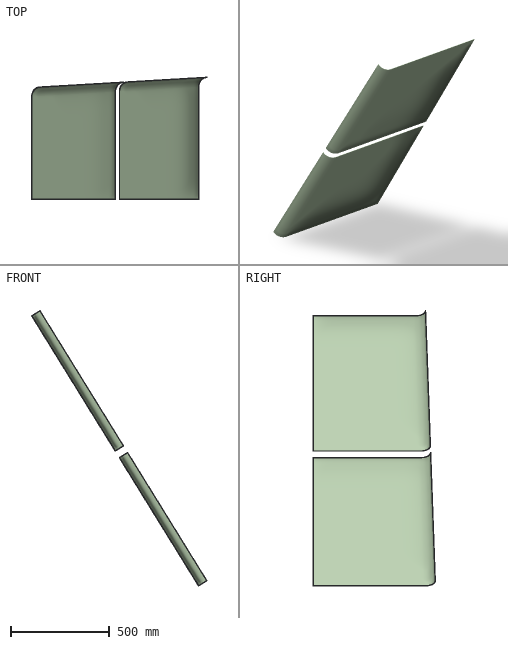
import cadquery as cq
import math


slope_angle = 58.282
overall_length = 1606.94
upper_length = 804.5
sheet_gap = 39.5
full_width = 619.32
flare_angle = 1.755
thickness = 2.0
outer_radius = 50.0

lower_start = upper_length + sheet_gap
lower_length = overall_length - lower_start
inner_radius = outer_radius - thickness
flare_slope = math.tan(math.radians(flare_angle))
arc_middle = math.sqrt(0.5)


def edge_position(distance):
    """Y of the rounded edge at a distance down the slope."""
    return full_width - (overall_length - distance) * flare_slope


def sheet_section(distance):
    """Closed section across the slope: a flat strip ending in a quarter-round."""
    edge = edge_position(distance)
    bend_start = edge - outer_radius
    outer_middle = (
        bend_start + outer_radius * arc_middle,
        outer_radius - outer_radius * arc_middle,
    )
    inner_middle = (
        bend_start + inner_radius * arc_middle,
        outer_radius - inner_radius * arc_middle,
    )
    section_plane = cq.Plane(origin=(distance, 0, 0), xDir=(0, 1, 0), normal=(1, 0, 0))
    return (
        cq.Workplane(section_plane)
        .lineTo(bend_start, 0)
        .threePointArc(outer_middle, (edge, outer_radius))
        .lineTo(edge - thickness, outer_radius)
        .threePointArc(inner_middle, (bend_start, thickness))
        .lineTo(0, thickness)
        .close()
        .val()
    )


def sloped_sheet(start, length):
    """One sheet, lofted flat along X and then tilted onto the slope."""
    end_sections = [sheet_section(start), sheet_section(start + length)]
    flat_sheet = cq.Solid.makeLoft(end_sections, True)
    return cq.Workplane(flat_sheet).rotate((0, 0, 0), (0, 1, 0), slope_angle)


upper_sheet = sloped_sheet(0, upper_length)

lower_sheet = sloped_sheet(lower_start, lower_length)

result = cq.Compound.makeCompound([upper_sheet.val(), lower_sheet.val()])